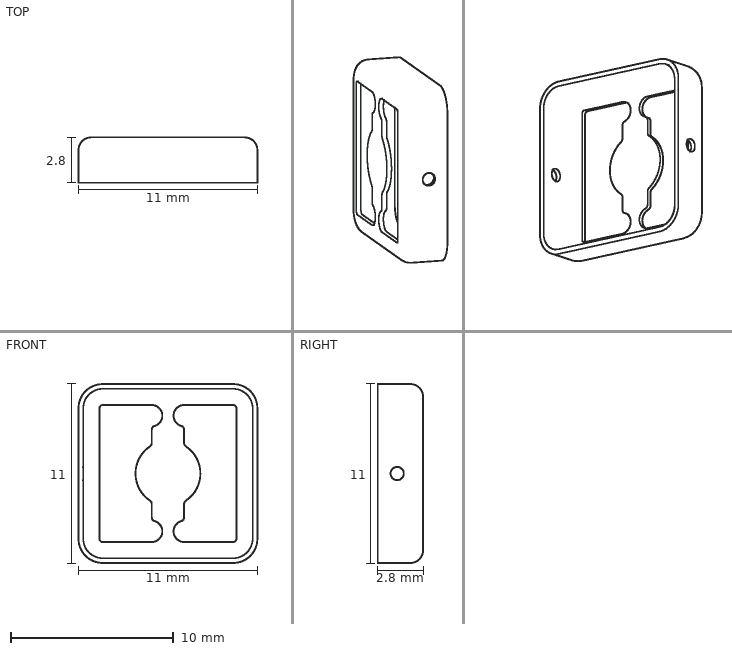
import cadquery as cq
import math

side = 11.0
depth = 2.8
wall = 0.3
corner_radius = 1.5
back_edge_radius = 0.8

window_side = 8.4
disc_radius = 2.0
neck_width = 2.0
relief_radius = 0.65
window_corner_radius = 0.2
neck_fillet = 0.25

pin_hole_diameter = 0.8
pin_hole_from_front = 1.2

front_y = -depth / 2
back_y = depth / 2


def rounded_block(width, front, back, vertical_radius, back_radius):
    """Square block from front to back with rounded corners and a rounded back edge."""
    length = back - front
    block = cq.Workplane("XY").box(width, length, width).translate((0, (front + back) / 2, 0))
    return block.edges("|Y").fillet(vertical_radius).faces(">Y").edges().fillet(back_radius)


def make_tray():
    outer = rounded_block(side, front_y, back_y, corner_radius, back_edge_radius)
    cavity = rounded_block(
        side - 2 * wall,
        front_y,
        back_y - wall,
        corner_radius - wall,
        back_edge_radius - wall,
    )
    return outer.cut(cavity)


def make_left_opening():
    """Cutter for the -X opening, bounded by the window frame, the reliefs, the neck and the disc."""
    half_window = window_side / 2
    neck_x = -neck_width / 2
    relief_z = half_window - relief_radius
    relief_tip_x = neck_x + relief_radius
    neck_end_z = relief_z - relief_radius
    disc_end_z = math.sqrt(disc_radius**2 - neck_x**2)

    opening = (
        cq.Workplane("XZ", origin=(0, back_y, 0))
        .moveTo(-half_window, -half_window)
        .lineTo(neck_x, -half_window)
        .threePointArc((relief_tip_x, -relief_z), (neck_x, -neck_end_z))
        .lineTo(neck_x, -disc_end_z)
        .threePointArc((-disc_radius, 0), (neck_x, disc_end_z))
        .lineTo(neck_x, neck_end_z)
        .threePointArc((relief_tip_x, relief_z), (neck_x, half_window))
        .lineTo(-half_window, half_window)
        .close()
        .extrude(wall)
    )
    opening = opening.edges("|Y").edges("<X").fillet(window_corner_radius)
    neck_corners = opening.edges("|Y").filter(
        lambda edge: abs(edge.Center().z) < relief_z and edge.Center().x > -disc_radius
    )
    return neck_corners.fillet(neck_fillet)


def make_pin_holes():
    """Cutter for the coaxial holes through both X walls."""
    return (
        cq.Workplane("YZ", origin=(0, front_y + pin_hole_from_front, 0))
        .circle(pin_hole_diameter / 2)
        .extrude(side / 2, both=True)
    )


left_opening = make_left_opening()
right_opening = left_opening.mirror("YZ")

result = make_tray().cut(left_opening).cut(right_opening).cut(make_pin_holes())